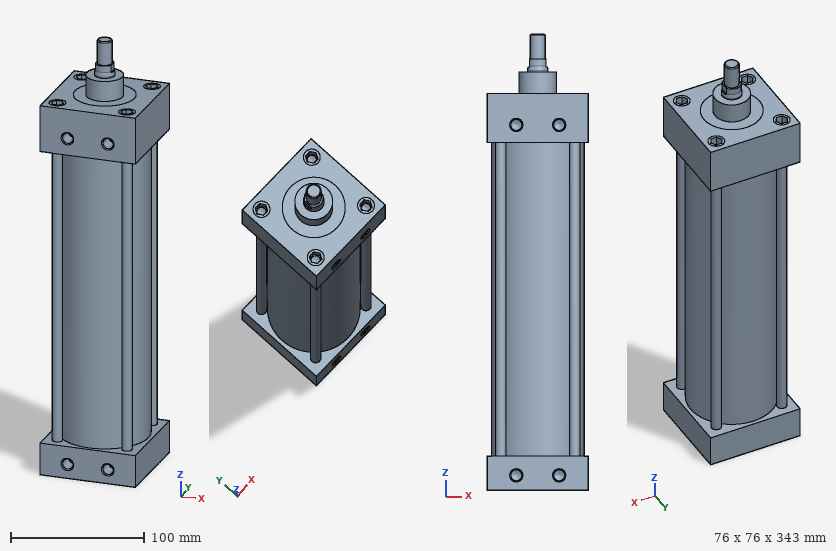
import cadquery as cq
import math


TOTAL_HEIGHT = 343.0
BLOCK_SIDE = 76.0

CAP_HEIGHT = 25.7
HEAD_BOTTOM = 261.3
HEAD_TOP = 298.3
HEAD_HEIGHT = HEAD_TOP - HEAD_BOTTOM

DRILL_TIP_ANGLE = 118.0

TIE_BOLT_OFFSET = 27.8
TIE_BOLT_SIDES = (-1, 1)
SHANK_DIAMETER = 8.0
BOLT_HEAD_DIAMETER = 12.7
BOLT_HEAD_HEIGHT = BOLT_HEAD_DIAMETER
BOLT_HEAD_BOTTOM = HEAD_TOP - BOLT_HEAD_HEIGHT
SOCKET_SIDES = 6
SOCKET_FLAT_WIDTH = 8.2
SOCKET_DRILL_DIAMETER = 7.0
SOCKET_DEPTH = 7.0

SIDE_HOLE_OFFSET = 16.0
SIDE_HOLE_DIAMETER = 8.2
SIDE_HOLE_MOUTH_DIAMETER = 10.0
SIDE_HOLE_DEPTH = 13.7
CAP_HOLE_HEIGHT = 11.3
HEAD_HOLE_HEIGHT = 274.5

BARREL_DIAMETER = 70.0

GLAND_DIAMETER = 47.3
BOSS_DIAMETER = 28.5
BOSS_TOP = 314.5

ROD_DIAMETER = 15.8
NECK_DIAMETER = 14.5
SHOULDER_TOP = 315.5
NECK_BOTTOM = 319.0
FLAT_BOTTOM = 318.2
FLAT_WIDTH = 12.7
THREAD_BOTTOM = 324.0
THREAD_DIAMETER = 11.3
TIP_CHAMFER = 0.85


def cylinder(diameter, bottom, top):
    return cq.Workplane("XY").workplane(offset=bottom).circle(diameter / 2).extrude(top - bottom)


def drill_tip(diameter):
    """Cone that points along -Z from the origin."""
    radius = diameter / 2
    depth = radius / math.tan(math.radians(DRILL_TIP_ANGLE / 2))
    return cq.Workplane(cq.Solid.makeCone(radius, 0, depth, dir=cq.Vector(0, 0, -1)))


def drill_tool(diameter, mouth_diameter, depth):
    """Drill shape along -Z from the origin: 45 degree mouth, bore and pointed tip."""
    chamfer = (mouth_diameter - diameter) / 2
    mouth = cq.Workplane(cq.Solid.makeCone(mouth_diameter / 2, diameter / 2, chamfer, dir=cq.Vector(0, 0, -1)))
    bore = cylinder(diameter, -depth, 0)
    return bore.union(mouth).union(drill_tip(diameter).translate((0, 0, -depth)))


def socket_tool():
    """Hexagon socket along -Z from the origin, corners on the X axis, with a drilled bottom."""
    corner_width = SOCKET_FLAT_WIDTH / math.cos(math.radians(180 / SOCKET_SIDES))
    hexagon = cq.Workplane("XY").polygon(SOCKET_SIDES, corner_width).extrude(-SOCKET_DEPTH)
    return hexagon.union(drill_tip(SOCKET_DRILL_DIAMETER).translate((0, 0, -SOCKET_DEPTH)))


def block(bottom, height, hole_height):
    """Square end block with two threaded holes in its front face."""
    end_block = cq.Workplane("XY").workplane(offset=bottom).rect(BLOCK_SIDE, BLOCK_SIDE).extrude(height)
    drill = drill_tool(SIDE_HOLE_DIAMETER, SIDE_HOLE_MOUTH_DIAMETER, SIDE_HOLE_DEPTH)
    drill = drill.rotate((0, 0, 0), (1, 0, 0), 90)
    for x in (-SIDE_HOLE_OFFSET, SIDE_HOLE_OFFSET):
        end_block = end_block.cut(drill.translate((x, -BLOCK_SIDE / 2, hole_height)))
    return end_block


def at_tie_bolts(shape):
    """Four copies of a shape on the Z axis, one at each tie bolt."""
    return [
        shape.translate((x_side * TIE_BOLT_OFFSET, y_side * TIE_BOLT_OFFSET, 0))
        for x_side in TIE_BOLT_SIDES
        for y_side in TIE_BOLT_SIDES
    ]


def tie_bolt_envelope():
    """Shank and head of a tie bolt without its socket, also the shape of its hole in the head."""
    shank = cylinder(SHANK_DIAMETER, CAP_HEIGHT, HEAD_TOP)
    bolt_head = cylinder(BOLT_HEAD_DIAMETER, BOLT_HEAD_BOTTOM, HEAD_TOP)
    return shank.union(bolt_head)


def make_body():
    """Cap, barrel and tie bolts in one piece."""
    body = block(0, CAP_HEIGHT, CAP_HOLE_HEIGHT)
    body = body.union(cylinder(BARREL_DIAMETER, CAP_HEIGHT, HEAD_BOTTOM))
    tie_bolt = tie_bolt_envelope().cut(socket_tool().translate((0, 0, HEAD_TOP)))
    for bolt in at_tie_bolts(tie_bolt):
        body = body.union(bolt)
    return body


def make_head():
    """Square head bored for the gland and for the four tie bolts."""
    head = block(HEAD_BOTTOM, HEAD_HEIGHT, HEAD_HOLE_HEIGHT)
    head = head.cut(cylinder(GLAND_DIAMETER, HEAD_BOTTOM, HEAD_TOP))
    for bolt_hole in at_tie_bolts(tie_bolt_envelope()):
        head = head.cut(bolt_hole)
    return head


def make_gland():
    """Flush plug and raised boss, bored for the piston rod."""
    plug = cylinder(GLAND_DIAMETER, HEAD_BOTTOM, HEAD_TOP)
    boss = cylinder(BOSS_DIAMETER, HEAD_TOP, BOSS_TOP)
    return plug.union(boss).cut(cylinder(ROD_DIAMETER, HEAD_BOTTOM, BOSS_TOP))


def make_rod():
    """Turned piston rod with two wrench flats facing -X and +X."""
    rod = (
        cq.Workplane("XZ")
        .moveTo(0, HEAD_BOTTOM)
        .lineTo(ROD_DIAMETER / 2, HEAD_BOTTOM)
        .lineTo(ROD_DIAMETER / 2, SHOULDER_TOP)
        .lineTo(NECK_DIAMETER / 2, NECK_BOTTOM)
        .lineTo(NECK_DIAMETER / 2, THREAD_BOTTOM)
        .lineTo(THREAD_DIAMETER / 2, THREAD_BOTTOM)
        .lineTo(THREAD_DIAMETER / 2, TOTAL_HEIGHT - TIP_CHAMFER)
        .lineTo(THREAD_DIAMETER / 2 - TIP_CHAMFER, TOTAL_HEIGHT)
        .lineTo(0, TOTAL_HEIGHT)
        .close()
        .revolve(360, (0, 0, 0), (0, 1, 0))
    )
    flat_cutter = cq.Workplane("XY").box(
        ROD_DIAMETER, ROD_DIAMETER, THREAD_BOTTOM - FLAT_BOTTOM, centered=(True, True, False)
    )
    cutter_offset = (FLAT_WIDTH + ROD_DIAMETER) / 2
    for x in (-cutter_offset, cutter_offset):
        rod = rod.cut(flat_cutter.translate((x, 0, FLAT_BOTTOM)))
    return rod


body = make_body()
head = make_head()
gland = make_gland()
rod = make_rod()
result = cq.Compound.makeCompound([body.val(), head.val(), gland.val(), rod.val()])